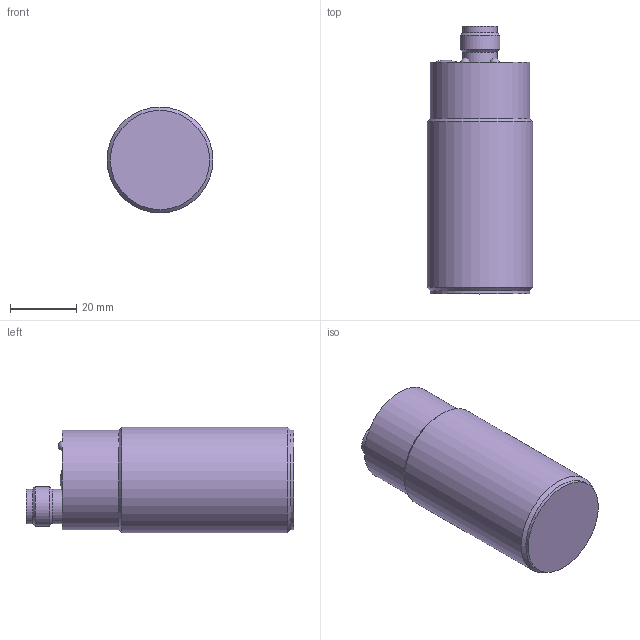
import cadquery as cq


core_diameter = 30.0
sleeve_diameter = 32.0
rear_face_y = 70.0
sleeve_front_y = 1.0
sleeve_rear_y = 53.0
sleeve_chamfer = (sleeve_diameter - core_diameter) / 2

lamp_diameter = 3.0
lamp_protrusion = 1.3
lamp_x = 4.45
lamp_z = 10.3

cover_diameter = 7.0
cover_height = 0.7
cover_x = -10.3
cover_z = 0.0

plug_diameter = 10.4
collar_diameter = 12.0
plug_z = -8.0
plug_rear_y = 81.0
collar_front_y = 73.1
collar_rear_y = 79.0
collar_chamfer = (collar_diameter - plug_diameter) / 2


def cylinder_along_y(diameter, front_y, rear_y, x=0.0, z=0.0):
    """Round bar parallel to Y between two Y positions."""
    base = cq.Workplane("XZ", origin=(x, front_y, z))
    return base.circle(diameter / 2).extrude(front_y - rear_y)


def chamfered_ring(diameter, front_y, rear_y, chamfer, z=0.0):
    """Round bar parallel to Y with both end edges chamfered."""
    return cylinder_along_y(diameter, front_y, rear_y, z=z).edges("%CIRCLE").chamfer(chamfer)


def lamp(x):
    """Ball sunk into the rear face so that only its dome stands proud."""
    radius = lamp_diameter / 2
    centre_y = rear_face_y + lamp_protrusion - radius
    return cq.Workplane("XY", origin=(x, centre_y, lamp_z)).sphere(radius)


def adjuster_cover():
    """Shallow spherical cap standing on the rear face."""
    radius = cover_diameter / 2
    profile = (
        cq.Workplane("XY", origin=(cover_x, rear_face_y, cover_z))
        .lineTo(radius, 0)
        .radiusArc((0, cover_height), -(radius**2 + cover_height**2) / (2 * cover_height))
        .close()
    )
    return profile.revolve(360, (0, 0, 0), (0, 1, 0))


def make_housing():
    body = cylinder_along_y(core_diameter, 0.0, rear_face_y)
    body = body.union(chamfered_ring(sleeve_diameter, sleeve_front_y, sleeve_rear_y, sleeve_chamfer))
    for x in (-lamp_x, lamp_x):
        body = body.union(lamp(x))
    return body.union(adjuster_cover())


def make_connector():
    stem = cylinder_along_y(plug_diameter, rear_face_y, plug_rear_y, z=plug_z)
    collar = chamfered_ring(collar_diameter, collar_front_y, collar_rear_y, collar_chamfer, z=plug_z)
    return stem.union(collar)


housing = make_housing()
connector = make_connector()

result = cq.Compound.makeCompound([housing.val(), connector.val()])